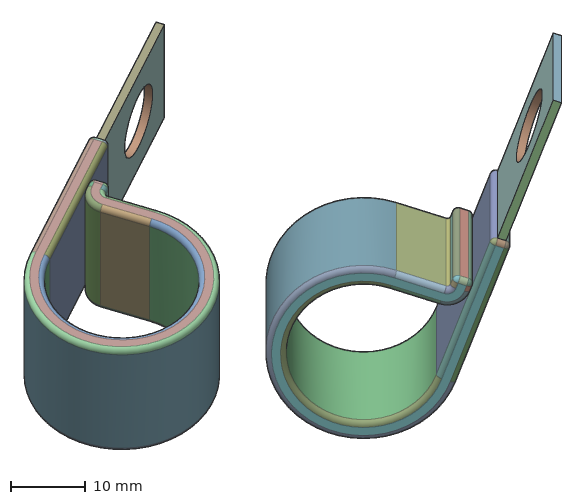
import cadquery as cq
import math

band_thickness = 1.21
band_width = 19.01

cushion_cover = 0.78
cushion_thickness = band_thickness + 2 * cushion_cover
cushion_width = band_width + 2 * cushion_cover
edge_radius = cushion_cover

loop_outer_radius = 13.095
loop_inner_radius = loop_outer_radius - cushion_thickness
loop_mid_radius = (loop_outer_radius + loop_inner_radius) / 2

cushion_leg_end = 22.225
tab_end = 44.445
hole_diameter = 10.32
hole_edge_distance = 9.525

hook_gap = 0.04
hook_inner_radius = 0.46
hook_outer_radius = hook_inner_radius + cushion_thickness
hook_outer_x = -loop_inner_radius + hook_gap
hook_inner_x = hook_outer_x + cushion_thickness
hook_bend_x = hook_outer_x + hook_outer_radius
hook_bend_y = loop_inner_radius + hook_outer_radius
hook_tip_y = 15.18

DIAGONAL = math.cos(math.radians(45))


def hook_bend_middle(radius):
    """Middle of a hook bend arc, on the lower-left diagonal of the bend."""
    return (hook_bend_x - radius * DIAGONAL, hook_bend_y - radius * DIAGONAL)


def loop_middle(radius):
    """Middle of a three-quarter loop arc, on the lower-right diagonal."""
    return (radius * DIAGONAL, -radius * DIAGONAL)


def make_cushion():
    """Rounded strip following the leg, the three-quarter loop and the hook."""
    strip = (
        cq.Workplane("XY")
        .moveTo(-loop_outer_radius, cushion_leg_end)
        .lineTo(-loop_outer_radius, 0)
        .threePointArc(loop_middle(loop_outer_radius), (0, loop_outer_radius))
        .lineTo(hook_bend_x, loop_outer_radius)
        .threePointArc(hook_bend_middle(hook_inner_radius), (hook_inner_x, hook_bend_y))
        .lineTo(hook_inner_x, hook_tip_y)
        .lineTo(hook_outer_x, hook_tip_y)
        .lineTo(hook_outer_x, hook_bend_y)
        .threePointArc(hook_bend_middle(hook_outer_radius), (hook_bend_x, loop_inner_radius))
        .lineTo(0, loop_inner_radius)
        .threePointArc(loop_middle(loop_inner_radius), (-loop_inner_radius, 0))
        .lineTo(-loop_inner_radius, cushion_leg_end)
        .close()
        .extrude(cushion_width / 2, both=True)
    )
    hook_tip_center = ((hook_outer_x + hook_inner_x) / 2, hook_tip_y, 0)
    leg_corners = strip.faces(">Y").edges("|Z")
    hook_corners = strip.faces(cq.NearestToPointSelector(hook_tip_center)).edges("|Z")
    rim_edges = strip.faces("|Z").edges()
    return rim_edges.add(leg_corners).add(hook_corners).fillet(edge_radius)


def make_tab():
    """Straight band, bare beyond the cushion, with its mounting hole."""
    tab = cq.Workplane("XY").box(band_thickness, tab_end, band_width)
    tab = tab.translate((-loop_mid_radius, tab_end / 2, 0))
    hole = (
        cq.Workplane("YZ", origin=(-loop_mid_radius, tab_end - hole_edge_distance, 0))
        .circle(hole_diameter / 2)
        .extrude(band_thickness, both=True)
    )
    return tab.cut(hole)


result = make_cushion().union(make_tab())